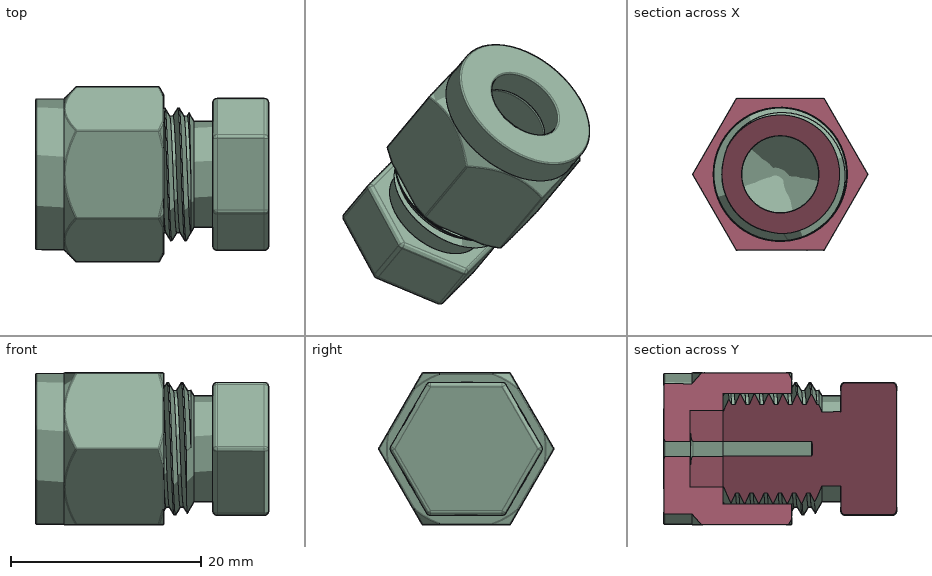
import cadquery as cq
import math


overall_length = 24.5

cone_margin = 0.25

nut_flats = 16.0
nut_length = 13.48
nut_round = 0.17
collar_radius = 7.95
collar_length = 2.96
collar_round = 0.15
nut_end_radius = 8.35
nut_front_cone_angle = 45.0
nut_rear_cone_angle = 60.0

bore_radius = 4.05
bore_rim_round = 0.15

ferrule_start = 2.82
ferrule_length = 3.43
ferrule_radius = 5.64
ferrule_rim_round = 0.25

head_flats = 14.0
head_length = 5.9
head_round = 0.5
neck_radius = 5.59
plug_bore_depth = 9.3
bore_point_angle = 90.0

thread_radius = 6.98
root_radius = 6.15
thread_pitch = 1.5
crest_width = 0.15
ridge_base_width = 1.22
ridge_sink = 0.07
thread_turns = 8
thread_start = 5.65
thread_end = 16.64
thread_end_angle = 60.0
thread_clearance = 0.05

head_start = overall_length - head_length
plug_start = ferrule_start + ferrule_length


def cylinder(radius, start, end):
    """Solid cylinder along X between two stations."""
    return cq.Workplane("YZ").workplane(offset=start).circle(radius).extrude(end - start)


def corner_radius(flats):
    """Distance from the centre of a regular hexagon to its corners."""
    return flats / math.sqrt(3)


def hexagon(flats, start, end):
    """Hex prism along X with flats facing +Z and -Z."""
    outline = cq.Workplane("YZ").workplane(offset=start).polygon(6, 2 * corner_radius(flats))
    return outline.extrude(end - start)


def revolved(outline):
    """Solid of revolution about X from (x, radius) points that start and end on the axis."""
    return cq.Workplane("XZ").polyline(outline).close().revolve(360, (0, 0, 0), (1, 0, 0))


def round_bore_rim(body, radius):
    """Round the inner rim of a body's front face."""
    return body.faces("<X").edges(cq.selectors.RadiusNthSelector(0)).fillet(radius)


def make_nut_hexagon():
    """Hex stretch of the nut, trimmed by a cone at each end and lightly rounded."""
    cone_rise = corner_radius(nut_flats) + cone_margin - collar_radius
    front_run = cone_rise / math.tan(math.radians(nut_front_cone_angle))
    rear_run = cone_rise / math.tan(math.radians(nut_rear_cone_angle))
    envelope = revolved([
        (collar_length, 0),
        (collar_length, collar_radius),
        (collar_length + front_run, collar_radius + cone_rise),
        (nut_length - rear_run, nut_end_radius + cone_rise),
        (nut_length, nut_end_radius),
        (nut_length, 0),
    ])
    trimmed = hexagon(nut_flats, collar_length, nut_length).intersect(envelope)
    return trimmed.edges("not(<X)").fillet(nut_round)


def make_nut():
    collar = cylinder(collar_radius, 0, collar_length).faces("<X").edges().fillet(collar_round)
    nut = collar.union(make_nut_hexagon())
    nut = nut.cut(cylinder(bore_radius, 0, ferrule_start))
    nut = nut.cut(cylinder(ferrule_radius, ferrule_start, plug_start))
    nut = nut.cut(cylinder(thread_radius + thread_clearance, plug_start, nut_length))
    return round_bore_rim(nut, bore_rim_round)


def make_ferrule():
    ring = cylinder(ferrule_radius, ferrule_start, plug_start)
    ring = ring.cut(cylinder(bore_radius, ferrule_start, plug_start))
    return round_bore_rim(ring, ferrule_rim_round)


def make_thread_ridge():
    """Right-handed V ridge, wound about Z from +X and then laid along X."""
    sunk_radius = root_radius - ridge_sink
    helix = cq.Wire.makeHelix(thread_pitch, thread_pitch * thread_turns, sunk_radius)
    half_base = ridge_base_width / 2
    half_crest = crest_width / 2
    profile = cq.Workplane("XZ").polyline([
        (sunk_radius, -half_base),
        (thread_radius, -half_crest),
        (thread_radius, half_crest),
        (sunk_radius, half_base),
    ]).close()
    ridge = profile.sweep(cq.Workplane(obj=helix), isFrenet=True)
    return ridge.rotate((0, 0, 0), (0, 1, 0), 90).translate((thread_start, 0, 0))


def make_thread():
    """Threaded stretch of the plug with coned ends, as (core, ridge)."""
    outer_radius = thread_radius + cone_margin
    lead_in = (outer_radius - neck_radius) / math.tan(math.radians(thread_end_angle))
    envelope = revolved([
        (plug_start, 0),
        (plug_start, neck_radius),
        (plug_start + lead_in, outer_radius),
        (thread_end - lead_in, outer_radius),
        (thread_end, neck_radius),
        (thread_end, 0),
    ])
    core = cylinder(root_radius, plug_start, thread_end).intersect(envelope)
    ridge = make_thread_ridge().intersect(envelope)
    return core, ridge


def make_plug_bore():
    """Blind tube bore with a conical bottom."""
    bore_end = plug_start + plug_bore_depth
    point_length = bore_radius / math.tan(math.radians(bore_point_angle / 2))
    return revolved([
        (plug_start, 0),
        (plug_start, bore_radius),
        (bore_end, bore_radius),
        (bore_end + point_length, 0),
    ])


def make_plug():
    core, ridge = make_thread()
    neck = cylinder(neck_radius, thread_end, head_start)
    head = hexagon(head_flats, head_start, overall_length).edges().fillet(head_round)
    plug = core.union(neck).union(head).cut(make_plug_bore())
    return plug.union(ridge)


nut = make_nut()
ferrule = make_ferrule()
plug = make_plug()

result = cq.Compound.makeCompound([*nut.solids().vals(), *ferrule.solids().vals(), *plug.solids().vals()])